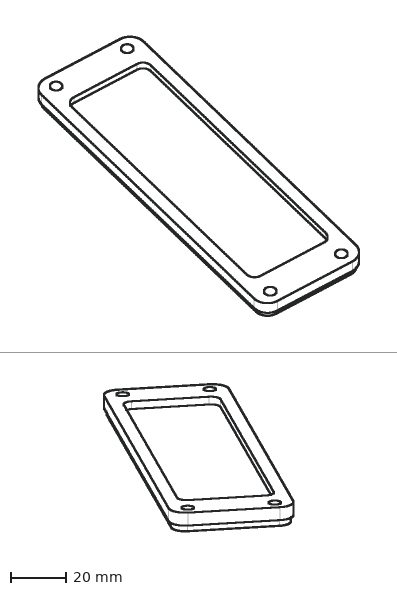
import cadquery as cq

length = 141.0
width = 45.8
height = 7.5
corner_radius = 6.0

foot_height = 2.5
foot_inset = 1.0
flange_height = height - foot_height

pocket_length = 113.2
pocket_width = 35.5
pocket_depth = 3.0
pocket_radius = 3.5

hole_diameter = 4.5
hole_spacing_x = 130.0
hole_spacing_y = 32.0


def rounded_block(size_x, size_y, size_z, radius, bottom):
    """Centred block with rounded vertical edges, standing on height `bottom`."""
    block = cq.Workplane("XY").workplane(offset=bottom).rect(size_x, size_y).extrude(size_z)
    return block.edges("|Z").fillet(radius)


foot = rounded_block(
    length - 2 * foot_inset,
    width - 2 * foot_inset,
    foot_height,
    corner_radius - foot_inset,
    0,
)
flange = rounded_block(length, width, flange_height, corner_radius, foot_height)
pocket = rounded_block(
    pocket_length, pocket_width, pocket_depth, pocket_radius, height - pocket_depth
)
holes = (
    cq.Workplane("XY")
    .rect(hole_spacing_x, hole_spacing_y, forConstruction=True)
    .vertices()
    .circle(hole_diameter / 2)
    .extrude(height)
)

result = foot.union(flange).cut(pocket).cut(holes)